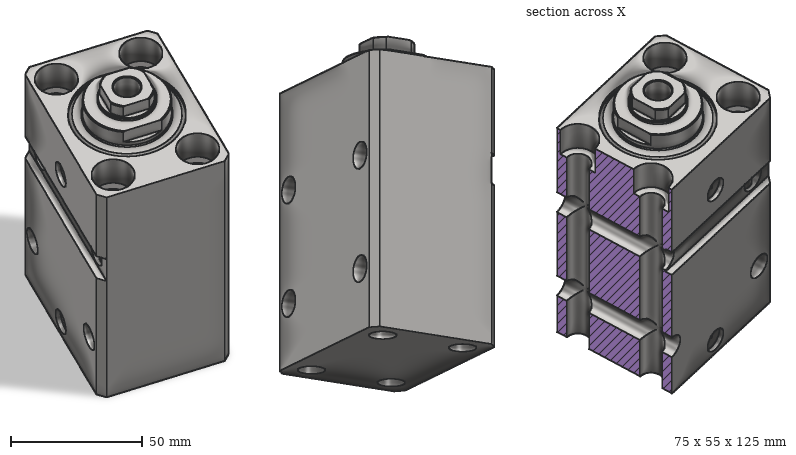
import cadquery as cq

width = 75.0
depth = 55.0
housing_height = 110.0
corner_chamfer = 3.0

keyway_depth = corner_chamfer
keyway_height = 12.0
keyway_center_z = 70.0

mount_x = 27.5
mount_y = 17.5
mount_diameter = 10.5
counterbore_diameter = 16.5
counterbore_depth = 13.0
cross_hole_heights = (25.0, keyway_center_z)

port_diameter = 10.0
port_depth = 2.0
oil_hole_diameter = 1.2
oil_hole_depth = 5.0
upper_port_z = 88.0
lower_port_z = 7.0
lower_oil_hole_rise = 0.5

gland_diameter = 45.0
gland_height = 15.0
gland_chamfer = 1.5
gland_base_z = housing_height - gland_height

shaft_diameter = 35.0
shaft_rise = 0.5
head_diameter = 34.0
head_top_z = 118.0
head_flat_width = 30.0
head_flat_base_z = 112.2
head_chamfer = 0.4
collar_diameter = 22.8
collar_height = 1.4
collar_chamfer = 0.4
collar_top_z = head_top_z + collar_height
rod_top_z = 125.0
square_width = 18.0
square_corner_diameter = 21.0
square_chamfer = 0.4

socket_diameter = 10.5
socket_depth = 20.0
socket_chamfer = 0.4
drill_point_depth = 3.0


def cylinder(diameter, bottom_z, top_z):
    """Upright cylinder on the Z axis."""
    return cq.Workplane("XY").workplane(offset=bottom_z).circle(diameter / 2).extrude(top_z - bottom_z)


def bore_from_front(x, z, diameter, bore_depth):
    """Cylinder running from the front face of the housing toward +Y."""
    front = cq.Workplane("XZ", origin=(x, -depth / 2, z))
    return front.circle(diameter / 2).extrude(-bore_depth)


def make_housing():
    housing = cq.Workplane("XY").box(width, depth, housing_height, centered=(True, True, False))
    housing = housing.edges("|Z").chamfer(corner_chamfer)

    keyway = cq.Workplane("XY").box(width, 2 * keyway_depth, keyway_height)
    housing = housing.cut(keyway.translate((0, -depth / 2, keyway_center_z)))

    housing = (
        housing.faces(">Z").workplane(origin=(0, 0, housing_height))
        .rect(2 * mount_x, 2 * mount_y, forConstruction=True).vertices()
        .cboreHole(mount_diameter, counterbore_diameter, counterbore_depth)
    )

    for x in (-mount_x, mount_x):
        for z in cross_hole_heights:
            housing = housing.cut(bore_from_front(x, z, mount_diameter, depth))

    for port_z, oil_hole_rise in ((upper_port_z, 0.0), (lower_port_z, lower_oil_hole_rise)):
        housing = housing.cut(bore_from_front(0, port_z, port_diameter, port_depth))
        oil_hole_z = port_z + oil_hole_rise
        oil_hole = bore_from_front(0, oil_hole_z, oil_hole_diameter, port_depth + oil_hole_depth)
        housing = housing.cut(oil_hole)

    return housing.cut(cylinder(gland_diameter, gland_base_z, housing_height))


def make_gland():
    gland = cylinder(gland_diameter, gland_base_z, housing_height)
    gland = gland.faces(">Z").edges().chamfer(gland_chamfer)
    return gland.cut(cylinder(shaft_diameter, gland_base_z, housing_height))


def make_rod_socket():
    radius = socket_diameter / 2
    floor_z = rod_top_z - socket_depth
    profile = [
        (0, floor_z - drill_point_depth),
        (radius, floor_z),
        (radius, rod_top_z - socket_chamfer),
        (radius + socket_chamfer, rod_top_z),
        (0, rod_top_z),
    ]
    return cq.Workplane("XZ").polyline(profile).close().revolve(360, (0, 0, 0), (0, 1, 0))


def make_rod():
    head_base_z = housing_height + shaft_rise
    shaft = cylinder(shaft_diameter, gland_base_z, head_base_z)
    shaft = shaft.faces(">Z").edges().chamfer(shaft_rise)

    head = cylinder(head_diameter, head_base_z, head_top_z)
    head = head.faces(">Z").edges().chamfer(head_chamfer)
    flats_height = head_top_z - head_flat_base_z
    between_flats = (
        cq.Workplane("XY").workplane(offset=head_flat_base_z)
        .rect(head_flat_width, head_diameter).extrude(flats_height)
    )
    flatted_head = head.intersect(between_flats)
    head = head.cut(cylinder(head_diameter, head_flat_base_z, head_top_z)).union(flatted_head)

    collar = cylinder(collar_diameter, head_top_z, collar_top_z)
    collar = collar.faces(">Z").edges().chamfer(collar_chamfer)

    square = cylinder(square_corner_diameter, collar_top_z, rod_top_z)
    square = square.faces(">Z").edges().chamfer(square_chamfer)
    square_bar = (
        cq.Workplane("XY").workplane(offset=collar_top_z)
        .rect(square_width, square_width).extrude(rod_top_z - collar_top_z)
    )
    square = square.intersect(square_bar)

    return shaft.union(head).union(collar).union(square).cut(make_rod_socket())


housing = make_housing()
gland = make_gland()
rod = make_rod()

result = cq.Compound.makeCompound([housing.val(), gland.val(), rod.val()])